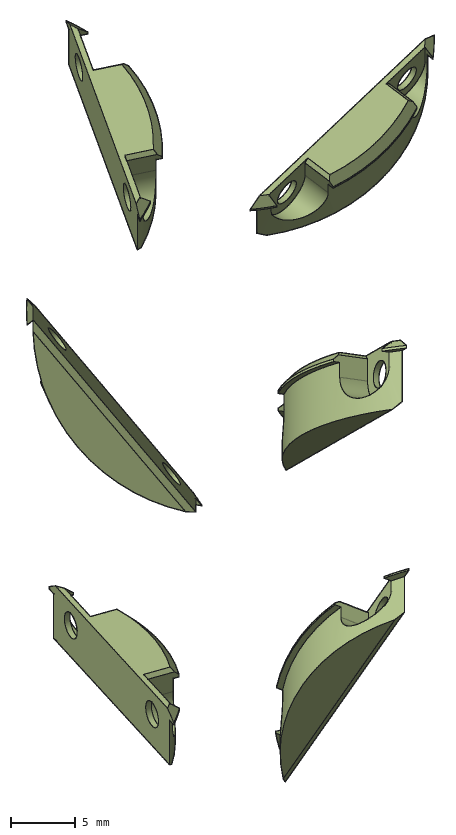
import cadquery as cq
import math

length = 21.52
depth = 4.22
height = 5.6

bevel = 0.7
rim_thickness = 0.22
flange_overhang = 0.5

bottom_chamfer = 0.52

seat_offset = 7.02
seat_drop = 2.13
seat_radius = 2.1
front_wall = 0.5
screw_hole_radius = 1.1
seat_edge_chamfer = 0.32

back_radius = ((length / 2) ** 2 + depth ** 2) / (2 * depth)
axis_y = depth - back_radius


def segment(radius, bottom, top):
    """Upright circular segment between the front face and the back arc."""
    half_chord = math.sqrt(radius ** 2 - axis_y ** 2)
    return (
        cq.Workplane("XY", origin=(0, 0, bottom))
        .moveTo(-half_chord, 0)
        .threePointArc((0, axis_y + radius), (half_chord, 0))
        .close()
        .extrude(top - bottom)
    )


def flange():
    """Segment with a vertical rim and a conical bevel up to the top face."""
    rim_bottom = -bevel - rim_thickness
    blank = segment(back_radius, rim_bottom, 0)
    envelope = (
        cq.Workplane("XZ")
        .polyline([
            (0, rim_bottom),
            (back_radius, rim_bottom),
            (back_radius, -bevel),
            (back_radius - bevel, 0),
            (0, 0),
        ])
        .close()
        .revolve(360, (0, 0), (0, 1))
        .translate((0, axis_y, 0))
    )
    return blank.intersect(envelope)


def front_chamfer():
    """Wedge removed along the lower front edge."""
    return (
        cq.Workplane("YZ", origin=(-length / 2, 0, 0))
        .polyline([
            (0, -height),
            (bottom_chamfer, -height),
            (0, -height + bottom_chamfer),
        ])
        .close()
        .extrude(length)
    )


def screw_seat(side):
    """U-shaped seat open to the top and back, with its screw hole."""
    x = side * seat_offset
    inner_x = side * (seat_offset - seat_radius)
    seat_plane = cq.Workplane("XZ", origin=(0, front_wall, 0))
    pocket = (
        seat_plane
        .moveTo(x - seat_radius, 0)
        .lineTo(x - seat_radius, -seat_drop)
        .threePointArc((x, -seat_drop - seat_radius), (x + seat_radius, -seat_drop))
        .lineTo(x + seat_radius, 0)
        .close()
        .extrude(-depth)
    )
    edge_chamfer = (
        seat_plane
        .polyline([
            (inner_x, 0),
            (inner_x - side * seat_edge_chamfer, 0),
            (inner_x, -seat_edge_chamfer),
        ])
        .close()
        .extrude(-depth)
    )
    hole = (
        cq.Workplane("XZ")
        .center(x, -seat_drop)
        .circle(screw_hole_radius)
        .extrude(-depth)
    )
    return pocket.union(edge_chamfer).union(hole)


body = segment(back_radius - flange_overhang, -height, -bevel)
result = body.union(flange()).cut(front_chamfer())
for side in (-1, 1):
    result = result.cut(screw_seat(side))